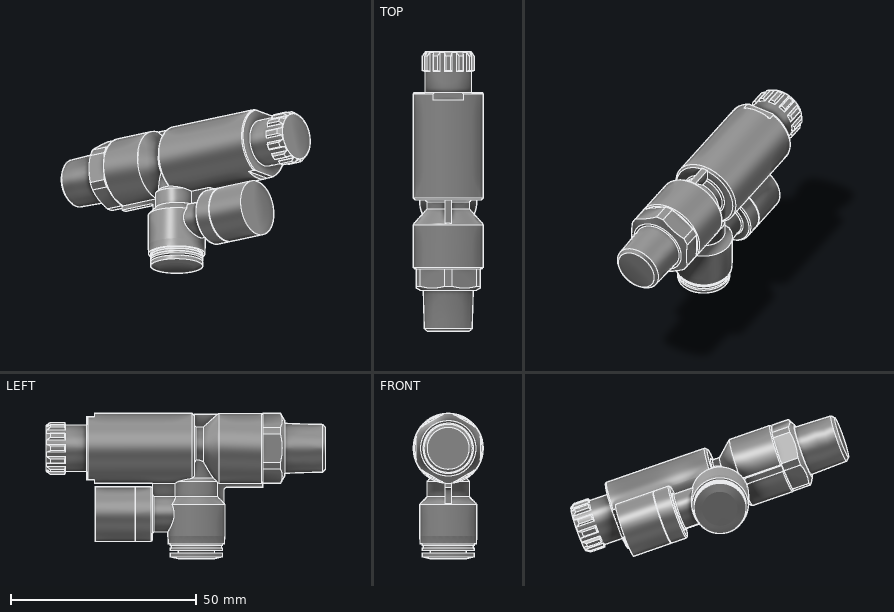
import cadquery as cq
import math


TOTAL_LENGTH = 75.6
TOTAL_HEIGHT = 39.4

BARREL_D = 19.0
BARREL_BACK = 29.6
BARREL_FRONT = 0.5
BARREL_BACK_BEVEL = 0.4
BARREL_BACK_BEVEL_DEPTH = 0.15
BARREL_FRONT_BEVEL = 0.6
NOTCH_LENGTH = 2.05
NOTCH_HEIGHT = 8.55

KNOB_STEM_D = 12.6
KNOB_D = 14.05
KNOB_BACK = 40.7
KNOB_LENGTH = 5.4
KNOB_BEVEL_LENGTH = 1.2
KNOB_BEVEL_END_D = 12.4
RIB_COUNT = 12
RIB_BASE_WIDTH = 2.05
RIB_TOP_WIDTH = 1.3
RIB_FRONT_BEVEL = 0.3

WAIST_D = 11.6
WAIST_FRONT = -1.9
WAIST_BEVEL = 0.45
COLLAR_BACK = -5.75
COLLAR_FRONT = -18.0
COLLAR_BEVEL = 0.4

HEX_SIDES = 6
HEX_ACROSS_FLATS = 17.4
HEX_FRONT = -23.9
HEX_BEVEL_LENGTH = 1.1
HEX_FACE_D = 15.0
THREAD_ROOT_D = 13.6
THREAD_TIP_D = 13.0
THREAD_FRONT = KNOB_BACK - TOTAL_LENGTH
THREAD_BEVEL = 0.8

STEM_D = 9.75
STEM_TOP = -1.5
STEM_BOTTOM = -8.1
NECK_D = WAIST_D
NECK_BOTTOM = -13.1
BRANCH_D = 15.5
BRANCH_TOP = -15.1
BRANCH_TAPER_START = -23.8
BRANCH_BOTTOM = -25.85
BRANCH_BOTTOM_D = 15.3

RING_D = 14.1
RING_NECK_D = 13.6
RING_GROOVE_D = 9.8
RING_LIP_BOTTOM = -26.3
RING_TOP = -27.0
RING_BOTTOM = -27.7
FLANGE_TOP = -28.3
FLANGE_BOTTOM = -29.3
FLANGE_TIP = BARREL_D / 2 - TOTAL_HEIGHT
FLANGE_TIP_D = 9.5

PORT_Z = -17.8
PORT_D = 14.9
PORT_NECK_D = STEM_D
PORT_FRONT = 11.9
PORT_BACK = 27.4
PORT_BEVEL = 0.4
PORT_JOINT = 16.55
PORT_JOINT_WIDTH = 0.15
PORT_JOINT_DEPTH = 0.1

WEB_WIDTH = 1.7
WEB_TOP = 9.2
WEB_LEDGE = -10.6
WEB_FRONT = -7.5
WEB_FILLET = 0.7


def turned_on_y(profile):
    """Turn a closed (radius, y) outline around the Y axis."""
    return cq.Workplane("XY").polyline(profile).close().revolve(360, (0, 0), (0, 1))


def turned_on_z(profile):
    """Turn a closed (radius, z) outline around the Z axis."""
    return cq.Workplane("XZ").polyline(profile).close().revolve(360, (0, 0), (0, 1))


def cylinder_on_y(diameter, back, front):
    return turned_on_y([(0, back), (diameter / 2, back), (diameter / 2, front), (0, front)])


def web(outline):
    """Flat web centred on X = 0 from a closed (y, z) outline."""
    return cq.Workplane("YZ").polyline(outline).close().extrude(WEB_WIDTH / 2, both=True)


def barrel():
    r = BARREL_D / 2
    body = turned_on_y([
        (0, BARREL_BACK),
        (r - BARREL_BACK_BEVEL_DEPTH, BARREL_BACK),
        (r, BARREL_BACK - BARREL_BACK_BEVEL),
        (r, BARREL_FRONT + BARREL_FRONT_BEVEL),
        (r - BARREL_FRONT_BEVEL, BARREL_FRONT),
        (0, BARREL_FRONT),
    ])
    notch_middle = BARREL_BACK - NOTCH_LENGTH / 2
    for side in (1, -1):
        notch = (
            cq.Workplane("XY")
            .box(BARREL_D, NOTCH_LENGTH, BARREL_D)
            .translate((0, notch_middle, side * (NOTCH_HEIGHT + BARREL_D / 2)))
        )
        body = body.cut(notch)
    return body


def knob():
    stem_r = KNOB_STEM_D / 2
    knob_r = KNOB_D / 2
    front = KNOB_BACK - KNOB_LENGTH
    envelope = turned_on_y([
        (0, front),
        (stem_r, front),
        (knob_r, front + RIB_FRONT_BEVEL),
        (knob_r, KNOB_BACK - KNOB_BEVEL_LENGTH),
        (KNOB_BEVEL_END_D / 2, KNOB_BACK),
        (0, KNOB_BACK),
    ])
    core = cylinder_on_y(KNOB_STEM_D, KNOB_BACK, front)
    rib = (
        cq.Workplane("XZ", origin=(0, KNOB_BACK, 0))
        .polyline([
            (-RIB_BASE_WIDTH / 2, 0),
            (-RIB_BASE_WIDTH / 2, stem_r),
            (-RIB_TOP_WIDTH / 2, knob_r),
            (RIB_TOP_WIDTH / 2, knob_r),
            (RIB_BASE_WIDTH / 2, stem_r),
            (RIB_BASE_WIDTH / 2, 0),
        ])
        .close()
        .extrude(KNOB_LENGTH)
    )
    for i in range(RIB_COUNT):
        core = core.union(rib.rotate((0, 0, 0), (0, 1, 0), i * 360 / RIB_COUNT))
    return core.intersect(envelope).union(cylinder_on_y(KNOB_STEM_D, front, BARREL_BACK))


def waist_and_collar():
    waist_r = WAIST_D / 2
    collar_r = BARREL_D / 2
    return turned_on_y([
        (0, BARREL_FRONT),
        (waist_r + WAIST_BEVEL, BARREL_FRONT),
        (waist_r, BARREL_FRONT - WAIST_BEVEL),
        (waist_r, WAIST_FRONT),
        (collar_r - COLLAR_BEVEL / 2, COLLAR_BACK),
        (collar_r, COLLAR_BACK - COLLAR_BEVEL),
        (collar_r, COLLAR_FRONT + COLLAR_BEVEL),
        (collar_r - COLLAR_BEVEL, COLLAR_FRONT),
        (0, COLLAR_FRONT),
    ])


def hexagon():
    half_sector = math.pi / HEX_SIDES
    prism = (
        cq.Workplane("XZ", origin=(0, COLLAR_FRONT, 0))
        .polygon(HEX_SIDES, HEX_ACROSS_FLATS / math.cos(half_sector))
        .extrude(COLLAR_FRONT - HEX_FRONT)
        .rotate((0, 0, 0), (0, 1, 0), math.degrees(half_sector))
    )
    envelope = turned_on_y([
        (0, COLLAR_FRONT),
        (BARREL_D / 2, COLLAR_FRONT),
        (BARREL_D / 2, HEX_FRONT + HEX_BEVEL_LENGTH),
        (HEX_FACE_D / 2, HEX_FRONT),
        (0, HEX_FRONT),
    ])
    return prism.intersect(envelope)


def thread():
    return turned_on_y([
        (0, HEX_FRONT),
        (THREAD_ROOT_D / 2, HEX_FRONT),
        (THREAD_TIP_D / 2, THREAD_FRONT + THREAD_BEVEL),
        (THREAD_TIP_D / 2 - THREAD_BEVEL, THREAD_FRONT),
        (0, THREAD_FRONT),
    ])


def branch():
    neck_top = STEM_BOTTOM - (NECK_D - STEM_D) / 2
    return turned_on_z([
        (0, STEM_TOP),
        (STEM_D / 2, STEM_TOP),
        (STEM_D / 2, STEM_BOTTOM),
        (NECK_D / 2, neck_top),
        (NECK_D / 2, NECK_BOTTOM),
        (BRANCH_D / 2, BRANCH_TOP),
        (BRANCH_D / 2, BRANCH_TAPER_START),
        (BRANCH_BOTTOM_D / 2, BRANCH_BOTTOM),
        (RING_D / 2, BRANCH_BOTTOM),
        (RING_D / 2, RING_LIP_BOTTOM),
        (RING_NECK_D / 2, RING_LIP_BOTTOM),
        (RING_NECK_D / 2, RING_TOP),
        (RING_D / 2, RING_TOP),
        (RING_D / 2, RING_BOTTOM),
        (RING_GROOVE_D / 2, RING_BOTTOM),
        (RING_GROOVE_D / 2, FLANGE_TOP),
        (RING_D / 2, FLANGE_TOP),
        (RING_D / 2, FLANGE_BOTTOM),
        (FLANGE_TIP_D / 2, FLANGE_TIP),
        (0, FLANGE_TIP),
    ])


def side_port():
    r = PORT_D / 2
    neck_r = PORT_NECK_D / 2
    joint_back = PORT_JOINT + PORT_JOINT_WIDTH / 2
    joint_front = PORT_JOINT - PORT_JOINT_WIDTH / 2
    return turned_on_y([
        (0, PORT_BACK),
        (r, PORT_BACK),
        (r, joint_back),
        (r - PORT_JOINT_DEPTH, joint_back),
        (r - PORT_JOINT_DEPTH, joint_front),
        (r, joint_front),
        (r, PORT_FRONT + PORT_BEVEL),
        (r - PORT_BEVEL, PORT_FRONT),
        (neck_r + PORT_BEVEL, PORT_FRONT),
        (neck_r, PORT_FRONT - PORT_BEVEL),
        (neck_r, 0),
        (0, 0),
    ]).translate((0, 0, PORT_Z))


def upper_web():
    return web([
        (BARREL_FRONT, 0),
        (BARREL_FRONT, WEB_TOP),
        (COLLAR_BACK, WEB_TOP),
        (COLLAR_BACK, 0),
    ])


def lower_web():
    plate = web([
        (PORT_FRONT, 0),
        (COLLAR_FRONT, 0),
        (COLLAR_FRONT, WEB_LEDGE),
        (WEB_FRONT, WEB_LEDGE),
        (WEB_FRONT, BRANCH_TOP),
        (PORT_FRONT, BRANCH_TOP),
    ])
    inner_corner = cq.selectors.NearestToPointSelector((0, WEB_FRONT, WEB_LEDGE))
    return plate.edges("|X").edges(inner_corner).fillet(WEB_FILLET)


result = (
    barrel()
    .union(knob())
    .union(waist_and_collar())
    .union(hexagon())
    .union(thread())
    .union(branch())
    .union(side_port())
    .union(upper_web())
    .union(lower_web())
)